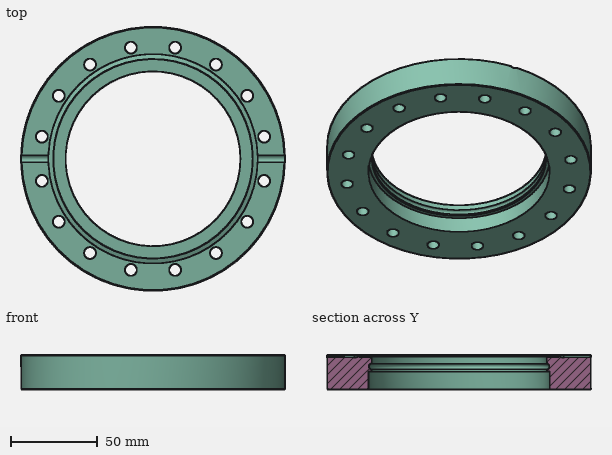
import cadquery as cq

flange_diameter = 152.0
flange_thickness = 20.0
rim_chamfer = 0.5

recess_diameter = 120.5
recess_depth = 1.7
knife_diameter = 115.0
knife_tip_depth = 0.8
inner_face_diameter = 114.6
inner_face_depth = 1.2

bore_diameter = 100.5
relief_start_depth = 5.0
relief_width = 3.3
lip_height = 1.2
socket_diameter = 104.3

bolt_count = 16
bolt_circle_diameter = 130.4
bolt_hole_diameter = 6.7

groove_width = 4.0
groove_depth = 1.2
recess_overlap = 0.5


def flange_ring():
    """Revolve the half section of the ring; the gasket face is at the top."""
    flange_radius = flange_diameter / 2
    recess_radius = recess_diameter / 2
    knife_radius = knife_diameter / 2
    bore_radius = bore_diameter / 2
    socket_radius = socket_diameter / 2
    top = flange_thickness
    relief_radius = relief_width / 2
    relief_top = top - relief_start_depth
    lip_top = relief_top - relief_width
    lip_bottom = lip_top - lip_height

    section = (
        cq.Workplane("XZ")
        .moveTo(socket_radius, 0)
        .lineTo(flange_radius - rim_chamfer, 0)
        .lineTo(flange_radius, rim_chamfer)
        .lineTo(flange_radius, top - rim_chamfer)
        .lineTo(flange_radius - rim_chamfer, top)
        .lineTo(recess_radius, top)
        .lineTo(recess_radius, top - recess_depth)
        .lineTo(knife_radius, top - knife_tip_depth)
        .lineTo(inner_face_diameter / 2, top - inner_face_depth)
        .lineTo(bore_radius, top - inner_face_depth)
        .lineTo(bore_radius, relief_top)
        .threePointArc((bore_radius + relief_radius, relief_top - relief_radius), (bore_radius, lip_top))
        .lineTo(bore_radius, lip_bottom)
        .lineTo(socket_radius, lip_bottom)
        .close()
    )
    return section.revolve(360, (0, 0, 0), (0, 1, 0))


def bolt_holes():
    """Through holes, placed so that the X axis falls midway between two of them."""
    pitch_angle = 360 / bolt_count
    return (
        cq.Workplane("XY")
        .polarArray(bolt_circle_diameter / 2, pitch_angle / 2, 360, bolt_count)
        .circle(bolt_hole_diameter / 2)
        .extrude(flange_thickness)
    )


def leak_check_groove(side):
    """Round-bottomed groove from the recess to the rim on the +X or -X side."""
    groove_radius = (groove_width**2 / 4 + groove_depth**2) / (2 * groove_depth)
    axis_height = flange_thickness - groove_depth + groove_radius
    groove_start = recess_diameter / 2 - recess_overlap
    return (
        cq.Workplane("YZ", origin=(side * groove_start, 0, axis_height))
        .circle(groove_radius)
        .extrude(side * (flange_diameter / 2 - groove_start))
    )


result = flange_ring().cut(bolt_holes())
for side in (-1, 1):
    result = result.cut(leak_check_groove(side))